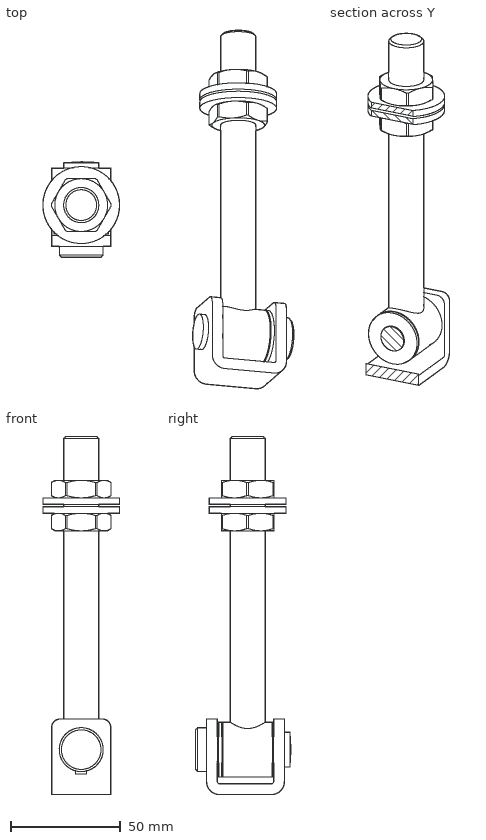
import cadquery as cq
import math

overall_height = 163.0
thread_diameter = 16.0
end_chamfer = 1.0

fork_width = 27.0
fork_height = 34.5
strap_thickness = 5.0
fork_gap = 25.5
fork_center_y = -1.0
inner_bend_radius = 1.0
outer_bend_radius = inner_bend_radius + strap_thickness
arm_corner_radius = 4.0
fork_depth = fork_gap + 2 * strap_thickness
front_face_y = fork_center_y - fork_depth / 2
back_face_y = fork_center_y + fork_depth / 2
inner_front_y = front_face_y + strap_thickness

floor_hole_diameter = 3.0
floor_hole_depth = 1.0
floor_hole_x = -9.5

pin_height = 20.5
pin_diameter = 12.0
head_diameter = 20.0
head_thickness = 5.0
lug_width = 5.0
lug_reach = 11.0

cap_diameter = 16.0
cap_rim_height = 2.5
cap_dome_height = 0.47
cap_socket_depth = 1.5
pin_end_y = back_face_y + cap_socket_depth

eye_diameter = 25.0
eye_width = 22.5
spacer_gap = 0.5
spacer_y = inner_front_y + spacer_gap
spacer_thickness = -eye_width / 2 - spacer_gap - spacer_y

nut_across_flats = 24.0
nut_corner_diameter = 27.2
nut_height = 8.0
nut_face_diameter = 24.0
nut_chamfer_height = 1.0
washer_diameter = 35.0
washer_thickness = 3.0
washer_gap = 1.0
lower_nut_z = 120.0
lower_washer_z = lower_nut_z + nut_height
upper_washer_z = lower_washer_z + washer_thickness + washer_gap
upper_nut_z = upper_washer_z + washer_thickness


def cylinder_along_y(diameter, start_y, length):
    """Cylinder on the pin axis, running toward +Y from start_y."""
    plane = cq.Workplane("XZ", origin=(0, start_y, pin_height))
    return plane.circle(diameter / 2).extrude(-length)


def make_lug():
    """Block below the pin axis, as deep as the front arm, that keys the pin to the fork."""
    return cq.Workplane("XY").box(
        lug_width, strap_thickness, lug_reach, centered=(True, False, False)
    ).translate((0, front_face_y, pin_height - lug_reach))


def make_fork():
    """Bent strap with the pin bore, the lug notch and the blind floor hole."""
    outside = (
        cq.Workplane("XY")
        .box(fork_width, fork_depth, fork_height, centered=(True, True, False))
        .edges("|X and <Z")
        .fillet(outer_bend_radius)
    )
    inside = (
        cq.Workplane("XY", origin=(0, 0, strap_thickness))
        .box(fork_width, fork_gap, fork_height, centered=(True, True, False))
        .edges("|X and <Z")
        .fillet(inner_bend_radius)
    )
    fork = outside.cut(inside).edges("|Y and >Z").fillet(arm_corner_radius)
    fork = fork.translate((0, fork_center_y, 0))
    floor_hole = (
        cq.Workplane("XY", origin=(floor_hole_x, 0, strap_thickness))
        .circle(floor_hole_diameter / 2)
        .extrude(-floor_hole_depth)
    )
    bore = cylinder_along_y(pin_diameter, front_face_y, fork_depth)
    return fork.cut(bore).cut(make_lug()).cut(floor_hole)


def make_pin():
    """Chamfered head, shank and lug joined as one body."""
    head = cylinder_along_y(head_diameter, front_face_y - head_thickness, head_thickness)
    head = head.faces("<Y").chamfer(end_chamfer)
    shank = cylinder_along_y(pin_diameter, front_face_y, pin_end_y - front_face_y)
    return head.union(shank).union(make_lug())


def make_cap():
    """Cap with a shallow spherical end and a blind socket for the pin."""
    radius = cap_diameter / 2
    rim_y = back_face_y + cap_rim_height
    apex_y = rim_y + cap_dome_height
    dome_radius = (radius**2 + cap_dome_height**2) / (2 * cap_dome_height)
    arc_mid = (radius / 2, apex_y - dome_radius + math.sqrt(dome_radius**2 - (radius / 2) ** 2))
    cap = (
        cq.Workplane("XY")
        .moveTo(0, back_face_y)
        .lineTo(radius, back_face_y)
        .lineTo(radius, rim_y)
        .threePointArc(arc_mid, (0, apex_y))
        .close()
        .revolve(360, (0, 0, 0), (0, 1, 0))
        .translate((0, 0, pin_height))
    )
    return cap.cut(cylinder_along_y(pin_diameter, back_face_y, cap_socket_depth))


def make_spacer():
    """Flat washer centred in the space between the eye and the front arm."""
    spacer = cylinder_along_y(eye_diameter, spacer_y, spacer_thickness)
    return spacer.cut(cylinder_along_y(pin_diameter, spacer_y, spacer_thickness))


def make_eyebolt():
    """Rod standing on a cross-bored eye, modelled as one body."""
    rod = (
        cq.Workplane("XY", origin=(0, 0, pin_height))
        .circle(thread_diameter / 2)
        .extrude(overall_height - pin_height)
        .faces(">Z")
        .chamfer(end_chamfer)
    )
    eye = cylinder_along_y(eye_diameter, -eye_width / 2, eye_width)
    bore = cylinder_along_y(pin_diameter, -eye_width / 2, eye_width)
    return rod.union(eye).cut(bore)


def make_nut(base_z):
    """Hexagon nut with turned corners and conical chamfers on both faces."""
    across_corners = nut_across_flats / math.cos(math.pi / 6)
    hexagon = cq.Workplane("XY").polygon(6, across_corners).extrude(nut_height)
    envelope = (
        cq.Workplane("XY")
        .circle(nut_corner_diameter / 2)
        .extrude(nut_height)
        .faces("<Z or >Z")
        .chamfer(nut_chamfer_height, (nut_corner_diameter - nut_face_diameter) / 2)
    )
    thread = cq.Workplane("XY").circle(thread_diameter / 2).extrude(nut_height)
    return hexagon.intersect(envelope).cut(thread).translate((0, 0, base_z))


def make_washer(base_z):
    """Flat washer around the rod."""
    return (
        cq.Workplane("XY", origin=(0, 0, base_z))
        .circle(washer_diameter / 2)
        .circle(thread_diameter / 2)
        .extrude(washer_thickness)
    )


fork = make_fork()
pin = make_pin()
cap = make_cap()
spacer = make_spacer()
eyebolt = make_eyebolt()
nuts = [make_nut(base_z) for base_z in (lower_nut_z, upper_nut_z)]
washers = [make_washer(base_z) for base_z in (lower_washer_z, upper_washer_z)]

bodies = [fork, pin, cap, spacer, eyebolt, *nuts, *washers]
result = cq.Compound.makeCompound([body.val() for body in bodies])